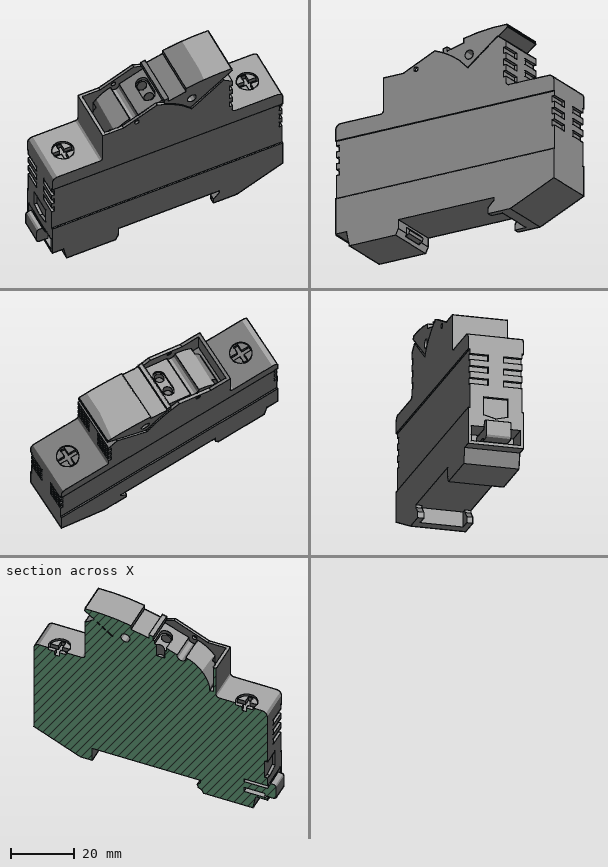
import cadquery as cq
import math

WIDTH = 18.0
HALF_LENGTH = 40.0
TOTAL_HEIGHT = 62.82

BLOCK_HALF_LENGTH = 22.5
SHOULDER_Z = 42.0
EDGE_RADIUS = 2.0
CORNER_RADIUS = 1.0
RIM_Z = 54.05
RIM_BEND_Y = -15.25
PEAK_Y, PEAK_Z = -3.6, 59.2
NOTCH_TIP = (8.35, 50.95)
NOTCH_TOP = (19.4, 59.3)
NOTCH_CURVE_START = (5.25, 54.1)
NOTCH_CURVE_MID = (2.1, 56.38)
NOTCH_CURVE_END = (-0.9, 58.05)
BLOCK_BACK_Z = 57.05

BACK_FOOT_Z = 7.0
BACK_FOOT_Y = 24.0
RAIL_Z = 5.0
RAIL_BACK_Y = 18.0
RAIL_LIP_Y = 15.9
RAIL_LIP_Z = 2.0
RAIL_LIP_TOP_Z = 4.1
LIP_GAP_WIDTH = 14.0
LIP_GAP_BACK_Y = 20.0
RAIL_FRONT_Y = -17.0
FRONT_FOOT_BACK_Y = -18.0
FRONT_FOOT_FRONT_Y = -35.0
FRONT_FOOT_SLOPE_RUN = 1.0

SIDE_RECESS_DEPTH = 0.5
SIDE_RECESS_BOTTOM, SIDE_RECESS_TOP = 17.0, 36.5

SLOT_HEIGHT = 2.0
SLOT_DEPTH = 1.0
SLOT_PITCH = 4.0
SLOT_COUNT = 3
SLOT_INNER_X = 2.5
BODY_SLOT_BOTTOM = 25.0
BLOCK_SLOT_BOTTOM = 45.0

SCREW_Y = 32.0
SCREW_DIAMETER = 7.0
SCREW_SINK = 0.8
CROSS_WIDTH = 1.5
CROSS_LENGTH_X = 6.0
CROSS_DEPTH = 1.5

WINDOW_WIDTH = 8.0
WINDOW_TOP, WINDOW_BOTTOM, WINDOW_TIP = 21.0, 15.0, 14.0
WINDOW_DEPTH = 1.0

POCKET_WIDTH = 16.0
POCKET_BOTTOM, POCKET_TOP = 6.0, 11.0
POCKET_DEPTH = 8.0
LATCH_WIDTH = 8.0
LATCH_FRONT_Y = -43.0
LATCH_BACK_Y = -39.0
LATCH_BOTTOM, LATCH_TOP = 6.5, 12.5
LATCH_ROUND = 1.0
LATCH_SLOPE_RUN = 1.0
LATCH_SHAFT_BOTTOM, LATCH_SHAFT_TOP = 7.5, 10.1
NOSE_TOP_Z = 4.1
NOSE_TIP = (-15.9, 3.0)
NOSE_LOWER = (-16.2, 1.9)
NOSE_BOTTOM = (-17.4, 1.1)

WELL_WIDTH = 16.0
WELL_FRONT_Y = -21.4
WELL_FLOOR_Z = 44.0

HANDLE_WIDTH = 17.0
HANDLE_HOLE = (8.65, 55.45)
HANDLE_HOLE_DIAMETER = 3.0
HANDLE_TIP = (8.2, 51.1)
HANDLE_NOSE = (22.7, 61.8)
SEAT_END_Y = 13.0
HANDLE_BACK_Z = 62.79
HANDLE_APEX_Y = 20.5
HANDLE_STEP_TOP = 61.35
HANDLE_STEP_BOTTOM = 59.85
HANDLE_BEVEL_Z = 62.3
HANDLE_STEP_Y = 6.65
RIB_BACK_Y = 0.6
RIB_BASE_Z = 58.35
RIB_BACK_TOP, RIB_FRONT_TOP = 59.8, 59.45

LEVER_WIDTH = 14.0
LEVER_SLOPE = 0.39
LEVER_CREST = (-12.1, 54.77)
LEVER_CURVE_MID = (-17.4, 51.2)
LEVER_CURVE_END = (-20.3, 45.0)
LEVER_FRONT_Y = -18.1
TONGUE_WIDTH = 10.0
PIN = (-10.6, 54.45)
PIN_HOLE_DIAMETER = 1.5
GROOVE_DIAMETER = 3.0
TEST_POINT_Y = -3.4
TEST_HOLE_SPACING = 5.0
TEST_HOLE_DIAMETER = 3.0
TEST_HOLE_BOTTOM = 52.0
TEST_SLOT_WIDTH = 4.0
TEST_SLOT_DEPTH = 1.2


def side_sketch():
    """Sketch plane of the side profiles: local coordinates are (Y, Z)."""
    return cq.Workplane("YZ")


def extrude_across(profile, width):
    """Extrude a side profile symmetrically about the middle of the width."""
    return profile.extrude(width / 2, both=True)


def box_between(x0, x1, y0, y1, z0, z1):
    return cq.Workplane("XY").box(x1 - x0, y1 - y0, z1 - z0, centered=False).translate((x0, y0, z0))


def cylinder_across(center, diameter):
    return extrude_across(side_sketch().center(*center).circle(diameter / 2), WIDTH)


def housing():
    edge_mid = EDGE_RADIUS * (1 - math.sqrt(0.5))
    corner_mid = CORNER_RADIUS * (1 - math.sqrt(0.5))
    edge_y = HALF_LENGTH - EDGE_RADIUS
    edge_z = SHOULDER_Z - EDGE_RADIUS
    edge_mid_y = HALF_LENGTH - edge_mid
    edge_mid_z = SHOULDER_Z - edge_mid
    corner_y = BLOCK_HALF_LENGTH + CORNER_RADIUS
    corner_z = SHOULDER_Z + CORNER_RADIUS
    corner_mid_y = BLOCK_HALF_LENGTH + corner_mid
    corner_mid_z = SHOULDER_Z + corner_mid
    profile = (
        side_sketch()
        .moveTo(BACK_FOOT_Y, 0)
        .lineTo(HALF_LENGTH, BACK_FOOT_Z)
        .lineTo(HALF_LENGTH, edge_z)
        .threePointArc((edge_mid_y, edge_mid_z), (edge_y, SHOULDER_Z))
        .lineTo(corner_y, SHOULDER_Z)
        .threePointArc((corner_mid_y, corner_mid_z), (BLOCK_HALF_LENGTH, corner_z))
        .lineTo(BLOCK_HALF_LENGTH, BLOCK_BACK_Z)
        .lineTo(*NOTCH_TOP)
        .lineTo(*NOTCH_TIP)
        .lineTo(*NOTCH_CURVE_START)
        .threePointArc(NOTCH_CURVE_MID, NOTCH_CURVE_END)
        .lineTo(PEAK_Y, PEAK_Z)
        .lineTo(RIM_BEND_Y, RIM_Z)
        .lineTo(-BLOCK_HALF_LENGTH, RIM_Z)
        .lineTo(-BLOCK_HALF_LENGTH, corner_z)
        .threePointArc((-corner_mid_y, corner_mid_z), (-corner_y, SHOULDER_Z))
        .lineTo(-edge_y, SHOULDER_Z)
        .threePointArc((-edge_mid_y, edge_mid_z), (-HALF_LENGTH, edge_z))
        .lineTo(-HALF_LENGTH, RAIL_Z)
        .lineTo(FRONT_FOOT_FRONT_Y - FRONT_FOOT_SLOPE_RUN, RAIL_Z)
        .lineTo(FRONT_FOOT_FRONT_Y, 0)
        .lineTo(FRONT_FOOT_BACK_Y, 0)
        .lineTo(RAIL_FRONT_Y, RAIL_LIP_Z)
        .lineTo(RAIL_FRONT_Y, RAIL_Z)
        .lineTo(RAIL_BACK_Y, RAIL_Z)
        .lineTo(RAIL_BACK_Y, RAIL_LIP_TOP_Z)
        .lineTo(RAIL_LIP_Y, RAIL_LIP_Z)
        .lineTo(RAIL_LIP_Y, 0)
        .close()
    )
    return extrude_across(profile, WIDTH)


def rail_lip_gap():
    """Gap that leaves the rail lip standing only at the two sides."""
    half = LIP_GAP_WIDTH / 2
    return box_between(-half, half, RAIL_LIP_Y, LIP_GAP_BACK_Y, 0, RAIL_Z)


def side_recesses():
    half = WIDTH / 2
    inner = half - SIDE_RECESS_DEPTH
    span = (-HALF_LENGTH, HALF_LENGTH, SIDE_RECESS_BOTTOM, SIDE_RECESS_TOP)
    return box_between(-half, -inner, *span).union(box_between(inner, half, *span))


def cooling_slots(y0, bottom):
    """Two columns of slots, open at the sides, with their lower Y limit at y0."""
    slots = cq.Workplane("XY")
    for row in range(SLOT_COUNT):
        z0 = bottom + row * SLOT_PITCH
        span = (y0, y0 + SLOT_DEPTH, z0, z0 + SLOT_HEIGHT)
        slots = slots.union(box_between(-WIDTH / 2, -SLOT_INNER_X, *span))
        slots = slots.union(box_between(SLOT_INNER_X, WIDTH / 2, *span))
    return slots


def screw_recess(y):
    """Sunk round screw head with a cross slot."""
    head_z = SHOULDER_Z - SCREW_SINK
    plane = cq.Workplane("XY", origin=(0, y, head_z))
    sink = plane.circle(SCREW_DIAMETER / 2).extrude(SCREW_SINK)
    disc = plane.circle(SCREW_DIAMETER / 2).extrude(-CROSS_DEPTH)
    bar_x = plane.rect(CROSS_LENGTH_X, CROSS_WIDTH).extrude(-CROSS_DEPTH)
    bar_y = plane.rect(CROSS_WIDTH, SCREW_DIAMETER).extrude(-CROSS_DEPTH).intersect(disc)
    return sink.union(bar_x).union(bar_y)


def window():
    half = WINDOW_WIDTH / 2
    return (
        cq.Workplane("XZ", origin=(0, -HALF_LENGTH, 0))
        .moveTo(-half, WINDOW_TOP)
        .lineTo(half, WINDOW_TOP)
        .lineTo(half, WINDOW_BOTTOM)
        .lineTo(0, WINDOW_TIP)
        .lineTo(-half, WINDOW_BOTTOM)
        .close()
        .extrude(-WINDOW_DEPTH)
    )


def latch_pocket():
    half = POCKET_WIDTH / 2
    return box_between(-half, half, -HALF_LENGTH, POCKET_DEPTH - HALF_LENGTH, POCKET_BOTTOM, POCKET_TOP)


def latch():
    """Pull tab on a shaft fixed in the back of its pocket."""
    half = LATCH_WIDTH / 2
    tab_profile = (
        side_sketch()
        .moveTo(LATCH_BACK_Y, LATCH_BOTTOM)
        .lineTo(LATCH_BACK_Y, LATCH_SHAFT_TOP)
        .lineTo(-HALF_LENGTH, LATCH_SHAFT_TOP)
        .lineTo(-HALF_LENGTH - LATCH_SLOPE_RUN, LATCH_TOP)
        .lineTo(LATCH_FRONT_Y, LATCH_TOP)
        .lineTo(LATCH_FRONT_Y, LATCH_BOTTOM)
        .close()
    )
    tab = extrude_across(tab_profile, LATCH_WIDTH).edges("|X and <Y").fillet(LATCH_ROUND)
    pocket_back_y = POCKET_DEPTH - HALF_LENGTH
    shaft = box_between(-half, half, LATCH_BACK_Y, pocket_back_y, LATCH_SHAFT_BOTTOM, LATCH_SHAFT_TOP)
    return tab.union(shaft)


def latch_nose():
    """Blunt nose of the latch that grips the rail."""
    profile = (
        side_sketch()
        .moveTo(RAIL_FRONT_Y, NOSE_TOP_Z)
        .lineTo(*NOSE_TIP)
        .lineTo(*NOSE_LOWER)
        .lineTo(*NOSE_BOTTOM)
        .lineTo(FRONT_FOOT_BACK_Y, NOSE_TOP_Z)
        .close()
    )
    return extrude_across(profile, LATCH_WIDTH)


def well():
    half = WELL_WIDTH / 2
    return box_between(-half, half, WELL_FRONT_Y, NOTCH_TIP[0], WELL_FLOOR_Z, TOTAL_HEIGHT)


def handle():
    rib_front_y = NOTCH_CURVE_END[0]
    profile = (
        side_sketch()
        .moveTo(*HANDLE_TIP)
        .lineTo(*HANDLE_NOSE)
        .lineTo(BLOCK_HALF_LENGTH, HANDLE_BEVEL_Z)
        .lineTo(BLOCK_HALF_LENGTH, HANDLE_BACK_Z)
        .threePointArc((HANDLE_APEX_Y, TOTAL_HEIGHT), (HANDLE_STEP_Y, HANDLE_STEP_TOP))
        .lineTo(HANDLE_STEP_Y, HANDLE_STEP_BOTTOM)
        .lineTo(RIB_BACK_Y, RIB_BASE_Z)
        .lineTo(RIB_BACK_Y, RIB_BACK_TOP)
        .lineTo(rib_front_y, RIB_FRONT_TOP)
        .lineTo(*NOTCH_CURVE_END)
        .threePointArc(NOTCH_CURVE_MID, NOTCH_CURVE_START)
        .close()
    )
    return extrude_across(profile, HANDLE_WIDTH)


def handle_seat():
    """Narrower wedge that closes the lower part of the slit between handle and notch."""
    handle_slope = (HANDLE_NOSE[1] - HANDLE_TIP[1]) / (HANDLE_NOSE[0] - HANDLE_TIP[0])
    notch_slope = (NOTCH_TOP[1] - NOTCH_TIP[1]) / (NOTCH_TOP[0] - NOTCH_TIP[0])
    profile = (
        side_sketch()
        .moveTo(*NOTCH_TIP)
        .lineTo(SEAT_END_Y, NOTCH_TIP[1] + notch_slope * (SEAT_END_Y - NOTCH_TIP[0]))
        .lineTo(SEAT_END_Y, HANDLE_TIP[1] + handle_slope * (SEAT_END_Y - HANDLE_TIP[0]))
        .lineTo(*HANDLE_TIP)
        .close()
    )
    return extrude_across(profile, WELL_WIDTH)


def lever_height(y):
    """Height of the sloped lever top at the given Y."""
    return NOTCH_CURVE_END[1] + LEVER_SLOPE * (y - NOTCH_CURVE_END[0])


def lever_slice(width):
    """Full side profile of the lever at the given width."""
    profile = (
        side_sketch()
        .moveTo(NOTCH_TIP[0], WELL_FLOOR_Z)
        .lineTo(*NOTCH_TIP)
        .lineTo(*NOTCH_CURVE_START)
        .threePointArc(NOTCH_CURVE_MID, NOTCH_CURVE_END)
        .lineTo(PIN[0], lever_height(PIN[0]))
        .lineTo(*LEVER_CREST)
        .threePointArc(LEVER_CURVE_MID, LEVER_CURVE_END)
        .lineTo(LEVER_CURVE_END[0], WELL_FLOOR_Z)
        .close()
    )
    return extrude_across(profile, width)


def lever():
    """Sloped lever top with a round groove and a curved thumb face that narrows to a tongue."""
    half = LEVER_WIDTH / 2
    wide_zone = box_between(-half, half, LEVER_FRONT_Y, NOTCH_TIP[0], WELL_FLOOR_Z, TOTAL_HEIGHT)
    body = lever_slice(LEVER_WIDTH).intersect(wide_zone)
    return body.union(lever_slice(TONGUE_WIDTH)).cut(cylinder_across(PIN, GROOVE_DIAMETER)).cut(test_point())


def test_point():
    """Oblong recess with a floor parallel to the lever slope and two round holes below it."""
    back_y = TEST_POINT_Y + TEST_SLOT_WIDTH / 2
    front_y = TEST_POINT_Y - TEST_SLOT_WIDTH / 2
    slab = (
        side_sketch()
        .moveTo(back_y, lever_height(back_y) - TEST_SLOT_DEPTH)
        .lineTo(back_y, lever_height(back_y))
        .lineTo(front_y, lever_height(front_y))
        .lineTo(front_y, lever_height(front_y) - TEST_SLOT_DEPTH)
        .close()
    )
    base = cq.Workplane("XY", origin=(0, TEST_POINT_Y, TEST_HOLE_BOTTOM))
    height = TOTAL_HEIGHT - TEST_HOLE_BOTTOM
    oblong = base.slot2D(TEST_HOLE_SPACING + TEST_SLOT_WIDTH, TEST_SLOT_WIDTH).extrude(height)
    recess = oblong.intersect(extrude_across(slab, WIDTH))
    hole_centers = [(-TEST_HOLE_SPACING / 2, 0), (TEST_HOLE_SPACING / 2, 0)]
    holes = base.pushPoints(hole_centers).circle(TEST_HOLE_DIAMETER / 2).extrude(height)
    return recess.union(holes)


result = housing().cut(side_recesses()).cut(rail_lip_gap()).cut(well())
result = result.cut(cooling_slots(-HALF_LENGTH, BODY_SLOT_BOTTOM))
result = result.cut(cooling_slots(HALF_LENGTH - SLOT_DEPTH, BODY_SLOT_BOTTOM))
result = result.cut(cooling_slots(BLOCK_HALF_LENGTH - SLOT_DEPTH, BLOCK_SLOT_BOTTOM))
for screw_y in (-SCREW_Y, SCREW_Y):
    result = result.cut(screw_recess(screw_y))
result = result.cut(window()).cut(latch_pocket())
result = result.union(latch()).union(latch_nose())
result = result.union(handle()).union(handle_seat()).union(lever())
result = result.cut(cylinder_across(HANDLE_HOLE, HANDLE_HOLE_DIAMETER))
result = result.cut(cylinder_across(PIN, PIN_HOLE_DIAMETER))